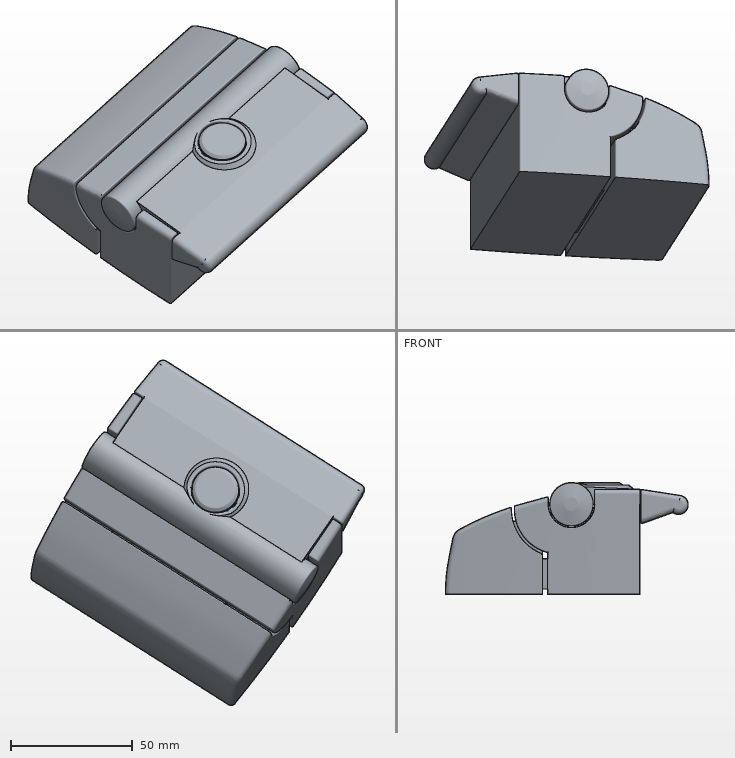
import cadquery as cq
import math


AXIS_Z = 37.1
BARREL_R = 9.0
TOP_Z = AXIS_Z + BARREL_R
FRONT_X = -51.9
HANDLE_END_X = 48.1
SIDE_HALF = 52.1
BOW_REACH = 53.4
BOW_SAG = 2.4
SIDE_FILLET = 2.0
EDGE_FILLET = 0.5
STOCK_HALF = 64.1
MARGIN = 5.3
NEAR = 0.05

JOINT_X = -5.0
JOINT_Z = 35.0
SHELL_JOINT_R = 19.7
BASE_JOINT_R = 18.5
SHELL_REAR_X = -11.9
PAD_HALF = 27.8
ARC_PAD_TOP = 30.1
FLAT_PAD_BOTTOM = 2.1
FLAT_PAD_TOP = 14.7

NOSE_BEND_Z = 15.1
NOSE_BEND_X = -50.4
NOSE_CORNER_Z = 25.5
NOSE_FILLET = 5.8
SHELL_TOP_MID = (-35.3, 32.1)
SHELL_TOP_Z = 36.0

BASE_FRONT_X = -9.8
BASE_REAR_X = 28.2
RECESS_R = 9.5
RIDGE_FRONT_Z = 36.4
RIDGE_REAR_Z = 40.3
ARM_TOP_Z = 43.3
ARM_INNER_Y = 46.9

BARREL_HALF = 52.5
BARREL_CAP_HALF = 53.4
CAP_FLAT_R = 2.8
CAP_RIM_R = BARREL_R - EDGE_FILLET
PLATE_HALF = 46.5
PLATE_FRONT_X = 5.3
PLATE_REAR_Z = 43.3
HANDLE_X = 28.6
HANDLE_BOTTOM_Z = 29.0
GRIP_R = 4.0
GRIP_X = HANDLE_END_X - GRIP_R
GRIP_Z = 36.9
GRIP_CREASE_X = 41.8

BUTTON_X = 11.5
BUTTON_R = 9.6
BUTTON_FLAT_R = 8.2
BUTTON_FILLET = 0.69
BUTTON_EDGE_DROP = 1.0
BUTTON_BOTTOM_Z = 40.6
POCKET_R = 9.9
BOSS_TOP_Z = 45.1
BOSS_FLAT_X = 6.7
BOSS_TOP_R = 12.0
BOSS_SPREAD = 1.25


def extrude_profile(sketch, half_width):
    """Extrude an XZ outline symmetrically along Y."""
    return sketch.close().extrude(half_width, both=True)


def slab(x0, x1, half_width, z0, z1):
    """Box between two X and two Z levels, centred on y = 0."""
    return cq.Workplane("XY").box(x1 - x0, 2 * half_width, z1 - z0, centered=(False, True, False)).translate(
        (x0, 0, z0)
    )


def cylinder_y(radius, x, z, half_width):
    """Cylinder along Y, centred on y = 0."""
    return cq.Workplane("XZ").center(x, z).circle(radius).extrude(half_width, both=True)


def bowed_plan():
    """Upright block whose two long sides bow outwards around x = 0."""
    end_half = SIDE_HALF - BOW_SAG
    return (
        cq.Workplane("XY")
        .moveTo(-BOW_REACH, -end_half)
        .threePointArc((0, -SIDE_HALF), (BOW_REACH, -end_half))
        .lineTo(BOW_REACH, end_half)
        .threePointArc((0, SIDE_HALF), (-BOW_REACH, end_half))
        .close()
        .extrude(TOP_Z)
    )


def joint_point(radius, x):
    """Point at a given X on the lower half of a joint arc."""
    return (x, JOINT_Z - math.sqrt(radius**2 - (x - JOINT_X) ** 2))


def joint_mid(radius):
    """Point on a joint arc, halfway down its front quarter."""
    reach = radius / math.sqrt(2)
    return (JOINT_X - reach, JOINT_Z - reach)


def edges_where(solid, belongs):
    """Edges whose middle point passes a test, ready to be filleted."""
    return solid.newObject([edge for edge in solid.edges().vals() if belongs(edge.positionAt(0.5))])


def on_side(point):
    """True for points on one of the two bowed sides, away from the bottom face."""
    return abs(point.y) > ARM_INNER_Y + NEAR and point.z > NEAR


def make_front_shell():
    joint_front_x = JOINT_X - SHELL_JOINT_R
    nose_depth = NOSE_BEND_X - FRONT_X
    nose_r = (nose_depth**2 + NOSE_BEND_Z**2) / (2 * nose_depth)
    turn = math.asin(NOSE_BEND_Z / nose_r)
    nose_mid = (FRONT_X + nose_r * (1 - math.cos(turn / 2)), nose_r * math.sin(turn / 2))
    corner_x = NOSE_BEND_X + (NOSE_CORNER_Z - NOSE_BEND_Z) * math.tan(turn)
    outline = (
        cq.Workplane("XZ")
        .moveTo(FRONT_X, 0)
        .threePointArc(nose_mid, (NOSE_BEND_X, NOSE_BEND_Z))
        .lineTo(corner_x, NOSE_CORNER_Z)
        .threePointArc(SHELL_TOP_MID, (joint_front_x, SHELL_TOP_Z))
        .lineTo(joint_front_x, JOINT_Z)
        .threePointArc(joint_mid(SHELL_JOINT_R), joint_point(SHELL_JOINT_R, SHELL_REAR_X))
        .lineTo(SHELL_REAR_X, 0)
    )
    shell = extrude_profile(outline, STOCK_HALF)
    shell = shell.edges(cq.NearestToPointSelector((corner_x, 0, NOSE_CORNER_Z))).fillet(NOSE_FILLET)
    shell = shell.intersect(bowed_plan())
    shell = edges_where(
        shell, lambda p: on_side(p) and p.x < joint_front_x - NEAR
    ).fillet(SIDE_FILLET)
    shell = edges_where(
        shell, lambda p: p.x > joint_front_x - NEAR and (on_side(p) or p.z > SHELL_TOP_Z - NEAR)
    ).fillet(EDGE_FILLET)
    return shell.union(make_joint_pads())


def make_joint_pads():
    """Pads on the rear of the shell that bridge the gap and rest against the base."""
    ring = cylinder_y(SHELL_JOINT_R, JOINT_X, JOINT_Z, PAD_HALF).cut(
        cylinder_y(BASE_JOINT_R, JOINT_X, JOINT_Z, PAD_HALF)
    )
    arc_pad = ring.intersect(slab(FRONT_X, SHELL_REAR_X, PAD_HALF, 0, ARC_PAD_TOP))
    flat_pad = slab(SHELL_REAR_X, BASE_FRONT_X, PAD_HALF, FLAT_PAD_BOTTOM, FLAT_PAD_TOP)
    return arc_pad.union(flat_pad)


def make_base():
    ridge_front_x = JOINT_X - BASE_JOINT_R
    outline = (
        cq.Workplane("XZ")
        .moveTo(BASE_FRONT_X, 0)
        .lineTo(*joint_point(BASE_JOINT_R, BASE_FRONT_X))
        .threePointArc(joint_mid(BASE_JOINT_R), (ridge_front_x, JOINT_Z))
        .lineTo(ridge_front_x, RIDGE_FRONT_Z)
        .lineTo(-RECESS_R, RIDGE_REAR_Z)
        .lineTo(-RECESS_R, AXIS_Z)
        .threePointArc((0, AXIS_Z - RECESS_R), (RECESS_R, AXIS_Z))
        .lineTo(RECESS_R, ARM_TOP_Z)
        .lineTo(BASE_REAR_X, ARM_TOP_Z)
        .lineTo(BASE_REAR_X, 0)
    )
    base = extrude_profile(outline, STOCK_HALF).intersect(bowed_plan())
    base = base.cut(slab(0, BASE_REAR_X + MARGIN, ARM_INNER_Y, AXIS_Z, TOP_Z))
    ridge_mid_x = (ridge_front_x - RECESS_R) / 2
    arm_mid_x = (RECESS_R + BASE_REAR_X) / 2
    for top_mid_x in (ridge_mid_x, arm_mid_x):
        base = edges_where(
            base, lambda p: on_side(p) and abs(p.x - top_mid_x) < 1.1 and p.z > RIDGE_FRONT_Z
        ).fillet(SIDE_FILLET)

    def on_joint_rim(p):
        on_joint = p.x < BASE_FRONT_X + NEAR and p.z < JOINT_Z
        on_ridge_front = p.x < ridge_front_x + NEAR
        return on_ridge_front and p.z > JOINT_Z - 1.1 or on_joint and on_side(p)

    def on_recess_rim(p):
        return abs(p.x + RECESS_R) < NEAR and p.z > AXIS_Z + NEAR

    def on_arm_inner_rim(p):
        return abs(p.x - arm_mid_x) < 1.1 and abs(abs(p.y) - ARM_INNER_Y) < NEAR and p.z > ARM_TOP_Z - NEAR

    def on_rear_rim(p):
        return p.x > BASE_REAR_X - NEAR and on_side(p) and p.z < AXIS_Z

    for rim in (on_joint_rim, on_recess_rim, on_arm_inner_rim, on_rear_rim):
        base = edges_where(base, rim).fillet(EDGE_FILLET)
    return base


def make_barrel():
    """Hinge barrel with rounded rims and shallow conical end caps."""
    rim_y = BARREL_HALF - EDGE_FILLET
    turn = EDGE_FILLET / math.sqrt(2)
    section = (
        cq.Workplane("YZ")
        .moveTo(-BARREL_CAP_HALF, 0)
        .lineTo(-BARREL_CAP_HALF, CAP_FLAT_R)
        .lineTo(-BARREL_HALF, CAP_RIM_R)
        .threePointArc((-rim_y - turn, CAP_RIM_R + turn), (-rim_y, BARREL_R))
        .lineTo(rim_y, BARREL_R)
        .threePointArc((rim_y + turn, CAP_RIM_R + turn), (BARREL_HALF, CAP_RIM_R))
        .lineTo(BARREL_CAP_HALF, CAP_FLAT_R)
        .lineTo(BARREL_CAP_HALF, 0)
        .close()
    )
    return section.revolve(360, (0, 0, 0), (1, 0, 0)).translate((0, 0, AXIS_Z))


def grip_touch():
    """Point where the top line of the handle runs tangentially into the grip."""
    run = GRIP_X - HANDLE_X
    drop = PLATE_REAR_Z - GRIP_Z
    angle = math.atan2(drop, -run) - math.acos(GRIP_R / math.hypot(run, drop))
    return (GRIP_X + GRIP_R * math.cos(angle), GRIP_Z + GRIP_R * math.sin(angle))


def make_plate():
    """Plate between the base arms, joining the barrel to the handle and running on along its top."""
    front_z = AXIS_Z + math.sqrt(BARREL_R**2 - PLATE_FRONT_X**2)
    outline = (
        cq.Workplane("XZ")
        .moveTo(0, AXIS_Z)
        .lineTo(PLATE_FRONT_X, front_z)
        .lineTo(HANDLE_X, PLATE_REAR_Z)
        .lineTo(*grip_touch())
        .lineTo(HANDLE_X, AXIS_Z)
    )
    return extrude_profile(outline, PLATE_HALF)


def make_handle():
    """Full-width handle that tapers to a rounded grip."""
    crease_z = GRIP_Z - math.sqrt(GRIP_R**2 - (GRIP_X - GRIP_CREASE_X) ** 2)
    outline = (
        cq.Workplane("XZ")
        .moveTo(HANDLE_X, HANDLE_BOTTOM_Z)
        .lineTo(HANDLE_X, PLATE_REAR_Z)
        .lineTo(*grip_touch())
        .threePointArc((HANDLE_END_X, GRIP_Z), (GRIP_CREASE_X, crease_z))
    )
    handle = extrude_profile(outline, STOCK_HALF).intersect(bowed_plan())
    handle = edges_where(handle, lambda p: on_side(p) and p.x > HANDLE_X + NEAR).fillet(SIDE_FILLET)
    return handle.edges("<X").fillet(EDGE_FILLET)


def make_boss():
    """Conical boss around the button; its top ramps up to meet the barrel tangentially."""
    foot_z = AXIS_Z
    foot_r = BOSS_TOP_R + BOSS_SPREAD * (BOSS_TOP_Z - foot_z)
    crown_r = BOSS_TOP_R - BOSS_SPREAD * (TOP_Z - BOSS_TOP_Z)
    cone = cq.Workplane(
        cq.Solid.makeCone(foot_r, crown_r, TOP_Z - foot_z, pnt=cq.Vector(BUTTON_X, 0, foot_z))
    )
    rise = BOSS_TOP_Z - AXIS_Z
    touch_angle = math.atan2(rise, BOSS_FLAT_X) + math.acos(BARREL_R / math.hypot(rise, BOSS_FLAT_X))
    touch = (BARREL_R * math.cos(touch_angle), AXIS_Z + BARREL_R * math.sin(touch_angle))
    top_profile = (
        cq.Workplane("XZ")
        .moveTo(0, AXIS_Z)
        .lineTo(*touch)
        .lineTo(BOSS_FLAT_X, BOSS_TOP_Z)
        .lineTo(BASE_REAR_X, BOSS_TOP_Z)
        .lineTo(BASE_REAR_X, AXIS_Z)
    )
    return cone.intersect(extrude_profile(top_profile, PLATE_HALF))


def make_lever():
    pocket_depth = TOP_Z - BUTTON_BOTTOM_Z + MARGIN
    pocket = (
        cq.Workplane("XY")
        .workplane(offset=BUTTON_BOTTOM_Z)
        .center(BUTTON_X, 0)
        .circle(POCKET_R)
        .extrude(pocket_depth)
    )
    lever = make_barrel().union(make_plate()).union(make_handle()).union(make_boss()).cut(pocket)

    def on_pocket_rim(p):
        return abs(math.hypot(p.x - BUTTON_X, p.y) - POCKET_R) < NEAR and p.z > BOSS_TOP_Z - NEAR

    return edges_where(lever, on_pocket_rim).fillet(EDGE_FILLET)


def make_button():
    """Round button with a bevelled edge, seated on the bottom of its pocket."""
    half_section = (
        cq.Workplane("XZ")
        .moveTo(0, BUTTON_BOTTOM_Z)
        .lineTo(BUTTON_R, BUTTON_BOTTOM_Z)
        .lineTo(BUTTON_R, TOP_Z - BUTTON_EDGE_DROP)
        .lineTo(BUTTON_FLAT_R, TOP_Z)
        .lineTo(0, TOP_Z)
        .close()
    )
    button = half_section.revolve(360, (0, 0, 0), (0, 1, 0)).edges(">Z").fillet(BUTTON_FILLET)
    return button.translate((BUTTON_X, 0, 0))


front_shell = make_front_shell()
base = make_base()
lever = make_lever()
button = make_button()
result = cq.Compound.makeCompound([front_shell.val(), base.val(), lever.val(), button.val()])